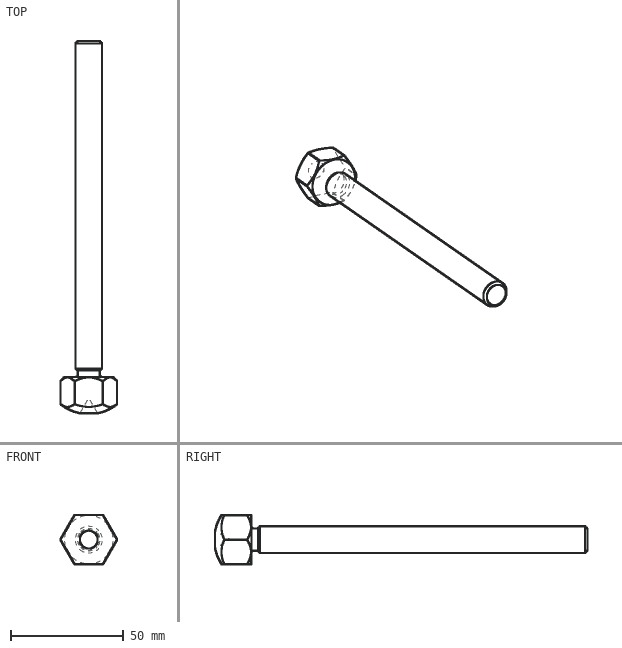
import cadquery as cq
import math

total_length = 166.0
shank_radius = 6.0
tip_chamfer = 1.2

across_flats = 22.0
corner_diameter = 25.2
corner_radius = corner_diameter / 2
head_length = 16.3
dome_radius = 20.0
seat_radius = 10.8
seat_chamfer_length = corner_radius - seat_radius

neck_radius = 5.0
neck_length = 3.8
neck_fillet = 0.8
neck_taper = shank_radius - neck_radius

hole_radius = 4.0
hole_angle = 60.0
hole_depth = hole_radius / math.tan(math.radians(hole_angle / 2))


def dome_height(radius):
    """Height of the dome surface above its sphere centre."""
    return math.sqrt(dome_radius**2 - radius**2)


def revolve_about_y(profile):
    return profile.close().revolve(360, (0, 0, 0), (0, 1, 0))


dome_centre = dome_height(hole_radius)
dome_edge = dome_centre - dome_height(corner_radius)
dome_apex = dome_centre - dome_radius
arc_middle_radius = corner_radius / 2
arc_middle = dome_centre - dome_height(arc_middle_radius)


def make_head():
    """Hexagon with corners on X, trimmed by the dome and the seat chamfer."""
    hexagon = (
        cq.Workplane("XZ", origin=(0, dome_apex, 0))
        .polygon(6, across_flats / math.cos(math.pi / 6))
        .extrude(dome_apex - head_length)
    )
    envelope = revolve_about_y(
        cq.Workplane("XY")
        .moveTo(0, dome_apex)
        .threePointArc((arc_middle_radius, arc_middle), (corner_radius, dome_edge))
        .lineTo(corner_radius, head_length - seat_chamfer_length)
        .lineTo(seat_radius, head_length)
        .lineTo(0, head_length)
    )
    return hexagon.intersect(envelope)


def make_shank():
    """Filleted neck, taper and plain shank with a chamfered tip."""
    shank_start = head_length + neck_length
    fillet_sweep = neck_fillet * (1 - math.sqrt(0.5))
    return revolve_about_y(
        cq.Workplane("XY")
        .moveTo(0, head_length)
        .lineTo(neck_radius + neck_fillet, head_length)
        .threePointArc(
            (neck_radius + fillet_sweep, head_length + fillet_sweep),
            (neck_radius, head_length + neck_fillet),
        )
        .lineTo(neck_radius, shank_start - neck_taper)
        .lineTo(shank_radius, shank_start)
        .lineTo(shank_radius, total_length - tip_chamfer)
        .lineTo(shank_radius - tip_chamfer, total_length)
        .lineTo(0, total_length)
    )


def make_centre_hole():
    """Cone with a short cylinder that clears the dome above the rim."""
    return revolve_about_y(
        cq.Workplane("XY")
        .moveTo(0, dome_apex)
        .lineTo(hole_radius, dome_apex)
        .lineTo(hole_radius, 0)
        .lineTo(0, hole_depth)
    )


result = make_head().union(make_shank()).cut(make_centre_hole())